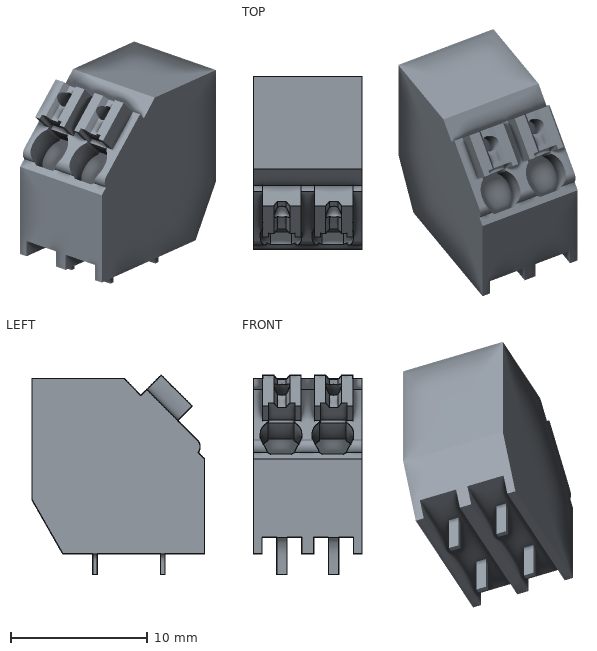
import cadquery as cq
import math

SIN45 = math.sqrt(0.5)

width = 8.0
depth = 12.7
height = 14.66

pole_pitch = 3.81
pole_offsets = [-pole_pitch / 2, pole_pitch / 2]

base_z = 1.52
roof_z = 14.41
roof_front_y = 5.9
back_chamfer_depth = 2.27
back_chamfer_height = 3.99
front_wall_top = 8.5
lip_depth = 0.47
bead_radius = 0.73
bead_top_y = 0.54
notch_y = 4.69

channel_width = 2.9
channel_height = 1.22

pin_width = 0.78
pin_thickness = 0.35
pin_rows = [3.08, 8.06]

button_width = 2.83
button_length = 3.23
button_rise = 1.5
recess_width = 1.94
recess_length = 0.34
recess_depth = 1.77
groove_top_width = 1.17
groove_floor_width = 0.62
groove_depth = 0.45
tool_hole_diameter = 1.15
tool_hole_depth = 1.47
tool_hole_from_back = 1.07

entry_diameter = 3.05
entry_depth = 1.9
entry_straight = 0.2
entry_below_button = 1.47
entry_lower_reach = 1.41
entry_shift = -0.06

face_top_y = 4.25
face_top_z = height - button_rise * SIN45
face_plane = cq.Plane(origin=(0, face_top_y, face_top_z), xDir=(1, 0, 0), normal=(0, -1, 1))


def face_box(x_center, box_width, y_low, y_high, z_low, z_high):
    """Box aligned with the 45 degree face: local y runs up the face and local z points out of it."""
    return (
        cq.Workplane(face_plane)
        .workplane(offset=z_low)
        .center(x_center, (y_low + y_high) / 2)
        .rect(box_width, y_high - y_low)
        .extrude(z_high - z_low)
    )


def button_block(x_center):
    """Plain block of one button, also the shape of its pocket in the housing."""
    return face_box(x_center, button_width, -button_length, 0, -entry_depth, button_rise)


def make_housing_block():
    notch_z = face_top_z - (notch_y - face_top_y)
    bead_top_z = face_top_z - (face_top_y - bead_top_y)
    bead_center_y = bead_top_y + bead_radius * SIN45
    bead_center_z = bead_top_z - bead_radius * SIN45
    bead_front = (bead_center_y - bead_radius, bead_center_z)
    return (
        cq.Workplane("YZ")
        .moveTo(0, base_z)
        .lineTo(0, front_wall_top)
        .lineTo(lip_depth, front_wall_top + lip_depth)
        .threePointArc(bead_front, (bead_top_y, bead_top_z))
        .lineTo(face_top_y, face_top_z)
        .lineTo(notch_y, notch_z)
        .lineTo(roof_front_y, roof_z)
        .lineTo(depth, roof_z)
        .lineTo(depth, base_z + back_chamfer_height)
        .lineTo(depth - back_chamfer_depth, base_z)
        .close()
        .extrude(width / 2, both=True)
    )


def wire_entry(x_center):
    """Pocket with round ends, cut off by a flat lower wall, and a straight throat that reaches the button."""
    center_y = -button_length - entry_below_button
    bore = (
        cq.Workplane(face_plane)
        .workplane(offset=-entry_depth)
        .center(x_center, center_y)
        .slot2D(entry_diameter + entry_straight, entry_diameter, 90)
        .extrude(2 * entry_depth)
    )
    keep = face_box(
        x_center, entry_diameter, center_y - entry_lower_reach, -button_length, -entry_depth, entry_depth
    )
    throat = face_box(x_center, recess_width, center_y, -button_length, -entry_depth, entry_depth)
    return bore.intersect(keep).union(throat)


def bottom_channel(x_center):
    return (
        cq.Workplane("XY")
        .workplane(offset=base_z)
        .center(x_center, depth / 2)
        .rect(channel_width, depth)
        .extrude(channel_height)
    )


def make_housing():
    housing = make_housing_block()
    for x in pole_offsets:
        housing = housing.cut(button_block(x))
        housing = housing.cut(wire_entry(x + entry_shift))
        housing = housing.cut(bottom_channel(x))
    return housing


def make_button(x_center):
    recess = face_box(
        x_center,
        recess_width,
        -button_length,
        recess_length - button_length,
        button_rise - recess_depth,
        button_rise,
    )
    groove_floor = button_rise - groove_depth
    groove = (
        cq.Workplane(cq.Plane(origin=face_plane.origin, xDir=(1, 0, 0), normal=face_plane.yDir * -1))
        .moveTo(x_center - groove_top_width / 2, button_rise)
        .lineTo(x_center - groove_floor_width / 2, groove_floor)
        .lineTo(x_center + groove_floor_width / 2, groove_floor)
        .lineTo(x_center + groove_top_width / 2, button_rise)
        .close()
        .extrude(button_length)
    )
    tool_hole = (
        cq.Workplane(face_plane)
        .workplane(offset=button_rise)
        .center(x_center, -tool_hole_from_back)
        .circle(tool_hole_diameter / 2)
        .extrude(-groove_depth - tool_hole_depth)
    )
    return button_block(x_center).cut(recess).cut(groove).cut(tool_hole)


def make_pin(x_center, y_center):
    """Flat pin hanging from the roof of its channel."""
    return (
        cq.Workplane("XY")
        .center(x_center, y_center)
        .rect(pin_width, pin_thickness)
        .extrude(base_z + channel_height)
    )


housing = make_housing()
buttons = [make_button(x) for x in pole_offsets]
pins = [make_pin(x, y) for x in pole_offsets for y in pin_rows]

result = cq.Compound.makeCompound(
    [housing.val(), *[button.val() for button in buttons], *[pin.val() for pin in pins]]
)